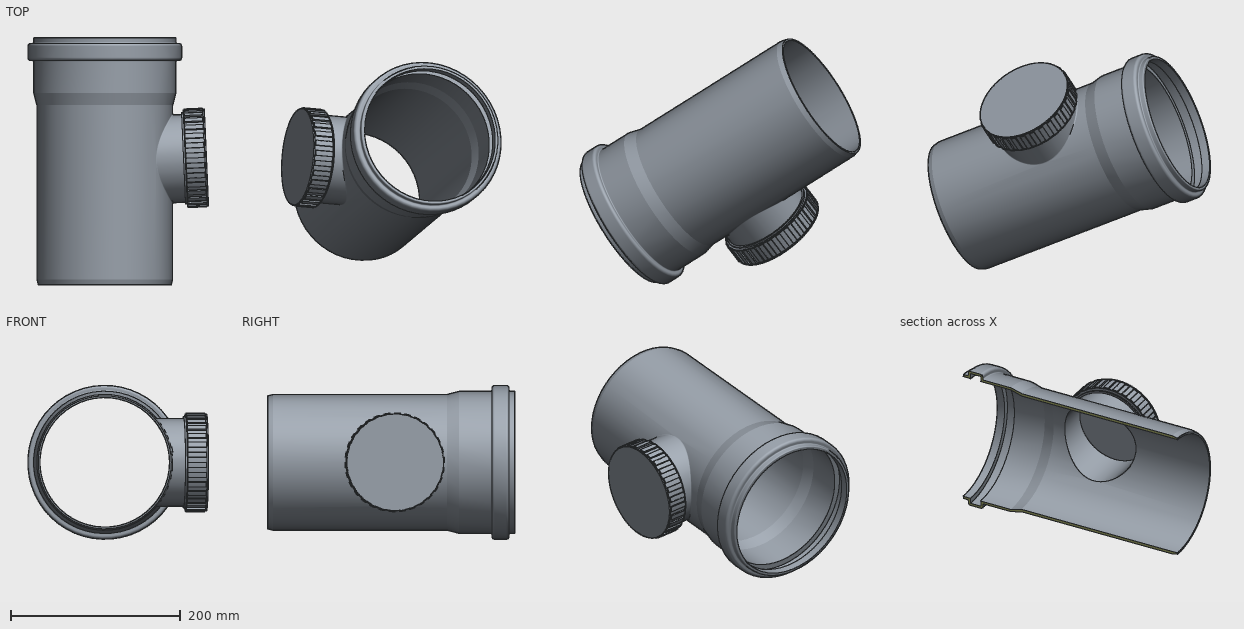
import cadquery as cq
import math

total_length = 291.0
pipe_diameter = 160.0
bore_diameter = 152.2
spigot_chamfer_length = 6.5
spigot_chamfer_angle = 15.0

socket_wall = 3.5
socket_diameter = 167.5
lip_diameter = 168.0
bead_diameter = 181.3
taper_start = 211.3
taper_end = 225.8
bead_start = 264.0
bead_end = 284.3
bead_round = 3.5
bead_root_round = 1.2
lip_round = 1.2

branch_lean = 2.5
branch_position = 145.0
neck_diameter = 103.5
neck_bore_diameter = 96.5
neck_root_round = 1.2

collar_diameter = 108.0
rim_diameter = 114.0
groove_root_diameter = 112.3
rib_tip_diameter = 116.5
collar_start = 92.8
back_rim_start = 95.0
rib_start = 95.7
rib_end = 118.1
cap_end = 120.0
cap_end_wall = 3.5
rib_count = 30
rib_chamfer = 1.0

rib_pitch = 360.0 / rib_count
rib_width_angle = rib_pitch / 2
neck_end = cap_end - cap_end_wall

selection_margin = 0.3

lean = math.radians(branch_lean)
branch_plane = cq.Plane(
    origin=(0, branch_position, 0),
    xDir=(math.sin(lean), -math.cos(lean), 0),
    normal=(math.cos(lean), math.sin(lean), 0),
)


def branch_cylinder(diameter, start, end):
    """Cylinder on the branch axis between two distances from the pipe axis."""
    return (
        cq.Workplane(branch_plane)
        .workplane(offset=start)
        .circle(diameter / 2)
        .extrude(end - start)
    )


def revolve_about_pipe_axis(points):
    """Solid of revolution about the Y axis from (radius, Y) points."""
    return cq.Workplane("XY").polyline(points).close().revolve(360, (0, 0, 0), (0, 1, 0))


def round_ring(body, radius, position, rounding):
    """Fillet the circular edge of the given radius at the given Y position."""
    reach = radius + selection_margin
    ring = cq.selectors.BoxSelector(
        (-reach, position - selection_margin, -reach),
        (reach, position + selection_margin, reach),
        boundingbox=True,
    )
    return body.edges(ring).edges(cq.selectors.RadiusNthSelector(-1)).fillet(rounding)


def pipe_outside():
    """Solid outer form of the pipe: spigot, taper, socket, bead and lip."""
    pipe_radius = pipe_diameter / 2
    socket_radius = socket_diameter / 2
    bead_radius = bead_diameter / 2
    lip_radius = lip_diameter / 2
    spigot_end_radius = pipe_radius - spigot_chamfer_length * math.tan(math.radians(spigot_chamfer_angle))
    outline = [
        (0, 0),
        (spigot_end_radius, 0),
        (pipe_radius, spigot_chamfer_length),
        (pipe_radius, taper_start),
        (socket_radius, taper_end),
        (socket_radius, bead_start),
        (bead_radius, bead_start),
        (bead_radius, bead_end),
        (lip_radius, bead_end),
        (lip_radius, total_length),
        (0, total_length),
    ]
    body = revolve_about_pipe_axis(outline)
    body = round_ring(body, bead_radius, bead_start, bead_round)
    body = round_ring(body, bead_radius, bead_end, bead_round)
    body = round_ring(body, socket_radius, bead_start, bead_root_round)
    body = round_ring(body, lip_radius, bead_end, bead_root_round)
    return round_ring(body, lip_radius, total_length, lip_round)


def pipe_inside():
    """Bore of the pipe, widening into the socket, with the seal groove inside the bead."""
    bore_radius = bore_diameter / 2
    socket_radius = socket_diameter / 2 - socket_wall
    lip_radius = lip_diameter / 2 - socket_wall
    groove_radius = bead_diameter / 2 - socket_wall
    return revolve_about_pipe_axis([
        (0, 0),
        (bore_radius, 0),
        (bore_radius, taper_start),
        (socket_radius, taper_end),
        (socket_radius, bead_start + socket_wall),
        (groove_radius, bead_start + socket_wall),
        (groove_radius, bead_end - socket_wall),
        (lip_radius, bead_end - socket_wall),
        (lip_radius, total_length),
        (0, total_length),
    ])


def make_pipe():
    """Pipe, socket and branch neck as one hollow body."""
    neck = branch_cylinder(neck_diameter, 0, neck_end)
    neck_bore = branch_cylinder(neck_bore_diameter, 0, neck_end)
    joint = cq.selectors.BoxSelector(
        (0, branch_position - neck_diameter, -neck_diameter),
        (pipe_diameter / 2 + selection_margin, branch_position + neck_diameter, neck_diameter),
        boundingbox=True,
    )
    body = pipe_outside().union(neck).edges(joint).edges("not %LINE").fillet(neck_root_round)
    return body.cut(pipe_inside()).cut(neck_bore)


def make_rib(index):
    """Grip rib number index: a wedge of the tip cylinder, chamfered at the outer end."""
    first_angle = math.radians(index * rib_pitch)
    last_angle = math.radians(index * rib_pitch + rib_width_angle)
    reach = rib_tip_diameter
    wedge = (
        cq.Workplane(branch_plane)
        .workplane(offset=rib_start)
        .polyline([
            (0, 0),
            (reach * math.cos(first_angle), reach * math.sin(first_angle)),
            (reach * math.cos(last_angle), reach * math.sin(last_angle)),
        ])
        .close()
        .extrude(rib_end - rib_start)
    )
    ring = branch_cylinder(rib_tip_diameter, rib_start, rib_end).faces(">X").edges().chamfer(rib_chamfer)
    return ring.intersect(wedge)


def make_cap():
    """Closed cap that fits over the neck, with a plain collar and a ribbed grip between two rims."""
    cap = branch_cylinder(collar_diameter, collar_start, cap_end)
    cap = cap.union(branch_cylinder(groove_root_diameter, back_rim_start, cap_end))
    cap = cap.union(branch_cylinder(rim_diameter, back_rim_start, rib_start))
    cap = cap.union(branch_cylinder(rim_diameter, rib_end, cap_end))
    for index in range(rib_count):
        cap = cap.union(make_rib(index))
    return cap.cut(branch_cylinder(neck_diameter, collar_start, neck_end))


pipe = make_pipe()
cap = make_cap()
result = cq.Compound.makeCompound([pipe.val(), cap.val()])